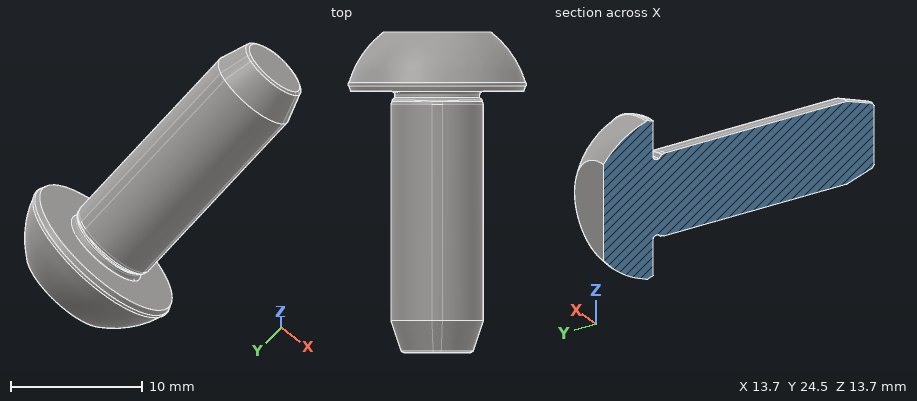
import cadquery as cq
import math

TOTAL_LENGTH = 24.5

HEAD_HEIGHT = 4.53
HEAD_RADIUS = 13.65 / 2
HEAD_TOP_RADIUS = 4.12
HEAD_BASE_RADIUS = 6.62
DOME_MID_RADIUS = 5.8
DOME_MID_HEIGHT = 2.7
RIM_INSET = 0.061
RIM_TOP_HEIGHT = 0.65
RIM_BOTTOM_HEIGHT = 0.42

NECK_RADIUS = 6.5 / 2
NECK_FILLET = 0.3
NECK_LENGTH = 0.47
SHOULDER_LENGTH = 0.32
SHOULDER_RADIUS = 3.58
SHOULDER_SCALE = 0.98
SHOULDER_BLEND_LENGTH = 0.22

SIDE_ARC_RADIUS = 3.75
SIDE_ARC_OFFSET = 0.25
LOBE_ARC_RADIUS = 2.45
LOBE_COUNT = 3
LOBE_PITCH = 360 / LOBE_COUNT

TIP_LENGTH = 2.47
TIP_SCALE = 0.78
BEVEL_LENGTH = 0.15
END_SCALE = 0.71

SHANK_LENGTH = TOTAL_LENGTH - HEAD_HEIGHT


def polar(radius, degrees):
    angle = math.radians(degrees)
    return (radius * math.cos(angle), radius * math.sin(angle))


def lobed_section(depth, scale=1.0):
    """Three-lobed outline at a depth below the head, first lobe toward +Z."""
    half_pitch = math.radians(LOBE_PITCH / 2)
    side_x = SIDE_ARC_OFFSET * math.sin(half_pitch)
    side_y = SIDE_ARC_OFFSET * math.cos(half_pitch)
    centre_gap = SIDE_ARC_RADIUS - LOBE_ARC_RADIUS
    lobe_centre = math.sqrt(centre_gap**2 - side_x**2) - side_y
    contact_x = LOBE_ARC_RADIUS * side_x / centre_gap
    contact_y = lobe_centre + math.sqrt(LOBE_ARC_RADIUS**2 - contact_x**2)

    lobe_reach = scale * (lobe_centre + LOBE_ARC_RADIUS)
    side_reach = scale * (SIDE_ARC_RADIUS - SIDE_ARC_OFFSET)
    contact_reach = scale * math.hypot(contact_x, contact_y)
    half_lobe = math.degrees(math.atan2(contact_x, contact_y))

    first_lobe = 90
    section = cq.Workplane("XZ", origin=(0, -depth, 0))
    section = section.moveTo(*polar(contact_reach, first_lobe - half_lobe))
    for index in range(LOBE_COUNT):
        lobe = first_lobe + index * LOBE_PITCH
        section = section.threePointArc(polar(lobe_reach, lobe), polar(contact_reach, lobe + half_lobe))
        section = section.threePointArc(
            polar(side_reach, lobe + LOBE_PITCH / 2),
            polar(contact_reach, lobe + LOBE_PITCH - half_lobe),
        )
    return section.close()


def lobed_taper(start_depth, start_scale, end_depth, end_scale):
    wires = [
        lobed_section(start_depth, start_scale).val(),
        lobed_section(end_depth, end_scale).val(),
    ]
    return cq.Workplane(cq.Solid.makeLoft(wires, True))


def head():
    return (
        cq.Workplane("XY")
        .lineTo(HEAD_BASE_RADIUS, 0)
        .lineTo(HEAD_RADIUS - RIM_INSET, RIM_BOTTOM_HEIGHT)
        .threePointArc(
            (HEAD_RADIUS, (RIM_BOTTOM_HEIGHT + RIM_TOP_HEIGHT) / 2),
            (HEAD_RADIUS - RIM_INSET, RIM_TOP_HEIGHT),
        )
        .threePointArc((DOME_MID_RADIUS, DOME_MID_HEIGHT), (HEAD_TOP_RADIUS, HEAD_HEIGHT))
        .lineTo(0, HEAD_HEIGHT)
        .close()
        .revolve(360, (0, 0, 0), (0, 1, 0))
    )


def neck_envelope():
    """Round envelope that trims the shank to the neck and its sloped shoulder."""
    shoulder_end = NECK_LENGTH + SHOULDER_LENGTH
    return (
        cq.Workplane("XY")
        .lineTo(NECK_RADIUS + NECK_FILLET, 0)
        .radiusArc((NECK_RADIUS, -NECK_FILLET), -NECK_FILLET)
        .lineTo(NECK_RADIUS, -NECK_LENGTH)
        .lineTo(SHOULDER_RADIUS, -shoulder_end)
        .lineTo(0, -shoulder_end)
        .close()
        .revolve(360, (0, 0, 0), (0, 1, 0))
    )


def shank():
    shoulder_end = NECK_LENGTH + SHOULDER_LENGTH
    body_start = shoulder_end + SHOULDER_BLEND_LENGTH
    tip_start = SHANK_LENGTH - TIP_LENGTH
    bevel_start = SHANK_LENGTH - BEVEL_LENGTH
    neck = neck_envelope().intersect(lobed_section(0, SHOULDER_SCALE).extrude(shoulder_end))
    blend = lobed_taper(shoulder_end, SHOULDER_SCALE, body_start, 1.0)
    body = lobed_section(body_start).extrude(tip_start - body_start)
    tip = lobed_taper(tip_start, 1.0, bevel_start, TIP_SCALE)
    bevel = lobed_taper(bevel_start, TIP_SCALE, SHANK_LENGTH, END_SCALE)
    return neck.union(blend).union(body).union(tip).union(bevel)


result = head().union(shank())